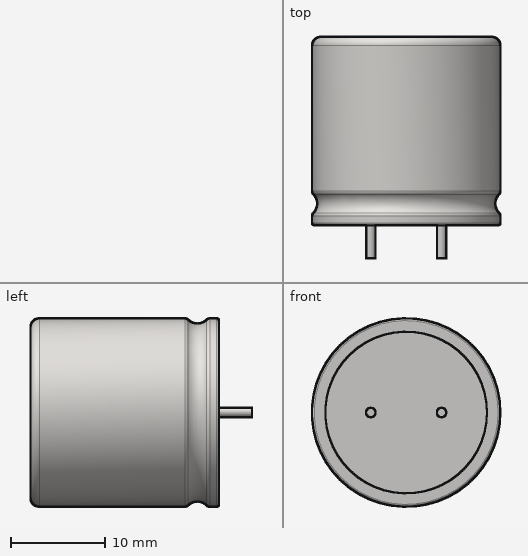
import cadquery as cq
import math

total_length = 23.5
body_diameter = 20.0
body_length = 20.0
body_radius = body_diameter / 2

closed_end_fillet = 0.96
rim_fillet = 0.25

recess_diameter = 17.13
recess_depth = 0.1

groove_position = 2.3
groove_depth = 0.55
groove_arc_radius = 1.4
groove_shoulder_fillet = 0.5

pin_diameter = 1.0
pin_spacing = 7.5


def make_can():
    """Solid can with a rounded closed end, a lightly rounded rim and a recessed mounting face."""
    can = cq.Workplane("XZ").circle(body_radius).extrude(-body_length)
    can = can.faces(">Y").edges().fillet(closed_end_fillet)
    can = can.faces("<Y").edges().fillet(rim_fillet)
    recess = cq.Workplane("XZ").circle(recess_diameter / 2).extrude(-recess_depth)
    return can.cut(recess)


def make_groove_cutter():
    """Ring whose section is the groove arc blended into the can wall by two convex arcs."""
    arc_center_x = body_radius - groove_depth + groove_arc_radius
    fillet_center_x = body_radius - groove_shoulder_fillet
    center_distance = groove_arc_radius + groove_shoulder_fillet
    shoulder_angle = math.acos((arc_center_x - fillet_center_x) / center_distance)
    shoulder_offset = center_distance * math.sin(shoulder_angle)
    blend_x = arc_center_x - groove_arc_radius * math.cos(shoulder_angle)
    blend_offset = groove_arc_radius * math.sin(shoulder_angle)
    fillet_mid_x = fillet_center_x + groove_shoulder_fillet * math.cos(shoulder_angle / 2)
    fillet_mid_offset = shoulder_offset - groove_shoulder_fillet * math.sin(shoulder_angle / 2)

    return (
        cq.Workplane("XY")
        .moveTo(body_radius, groove_position - shoulder_offset)
        .threePointArc(
            (fillet_mid_x, groove_position - fillet_mid_offset),
            (blend_x, groove_position - blend_offset),
        )
        .threePointArc(
            (body_radius - groove_depth, groove_position),
            (blend_x, groove_position + blend_offset),
        )
        .threePointArc(
            (fillet_mid_x, groove_position + fillet_mid_offset),
            (body_radius, groove_position + shoulder_offset),
        )
        .close()
        .revolve(360, (0, 0), (0, 1))
    )


def make_pins():
    """Two round pins rooted in the floor of the recess."""
    pin_tip_length = total_length - body_length
    return (
        cq.Workplane("XZ", origin=(0, recess_depth, 0))
        .pushPoints([(-pin_spacing / 2, 0), (pin_spacing / 2, 0)])
        .circle(pin_diameter / 2)
        .extrude(recess_depth + pin_tip_length)
    )


result = make_can().cut(make_groove_cutter()).union(make_pins())